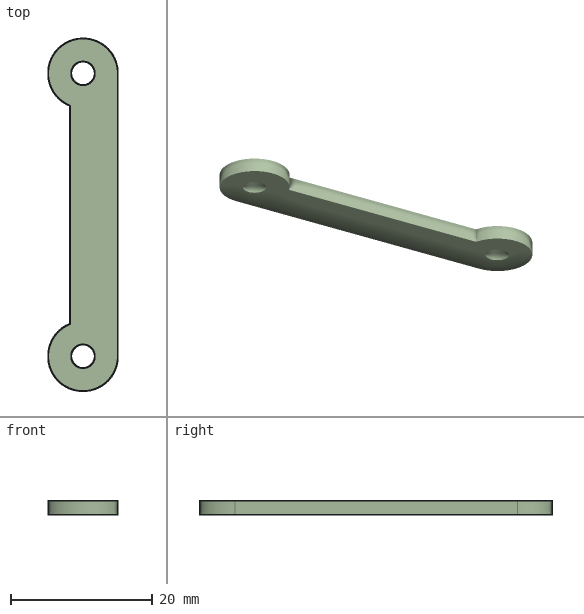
import cadquery as cq

thickness = 2.0
eye_diameter = 9.9
hole_diameter = 3.3
hole_spacing = 40.0
bar_width = 6.8

bar_center_x = (eye_diameter - bar_width) / 2
eye_centers = [(0, -hole_spacing / 2), (0, hole_spacing / 2)]


def discs(diameter):
    """Full-thickness cylinders centred on both eyes."""
    return cq.Workplane("XY").pushPoints(eye_centers).circle(diameter / 2).extrude(thickness)


def connecting_bar():
    """Straight bar running from one eye centre to the other."""
    return (
        cq.Workplane("XY")
        .center(bar_center_x, 0)
        .rect(bar_width, hole_spacing)
        .extrude(thickness)
    )


result = connecting_bar().union(discs(eye_diameter)).cut(discs(hole_diameter))